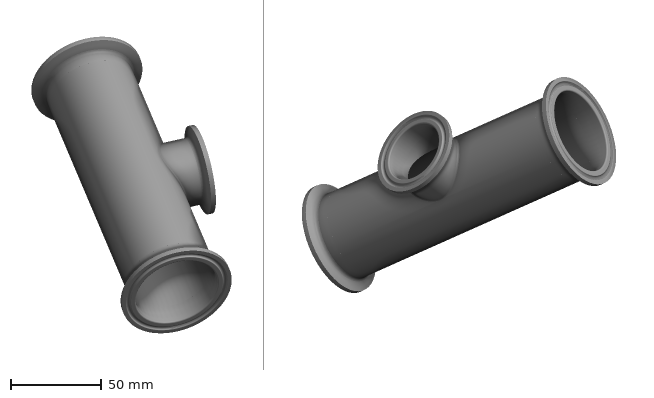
import cadquery as cq
import math

overall_length = 171.4
tube_radius = 25.4
wall = 1.63
tube_bore_radius = tube_radius - wall

branch_radius = 19.0
branch_bore_radius = branch_radius - wall
branch_reach = 41.3
branch_fillet = 1.0

ferrule_length = 12.5
main_flange_radius = 31.9
branch_flange_radius = 25.2
rim_thickness = 2.7
flank_angle = 20.0
neck_fillet = 2.0
bore_edge_radius = 0.9

groove_inset = 3.8
groove_half_width = 1.2
groove_depth = 1.0
groove_edge_radius = 0.3

tube_half_length = overall_length / 2 - ferrule_length
branch_root_reach = branch_reach - ferrule_length


def groove_cutter(groove_center):
    """Shallow round-bottomed ring groove in the face at Z = 0."""
    return (
        cq.Workplane("XZ")
        .moveTo(groove_center - groove_half_width, 0)
        .threePointArc((groove_center, groove_depth), (groove_center + groove_half_width, 0))
        .close()
        .revolve(360, (0, 0, 0), (0, 1, 0))
    )


def make_ferrule(neck_radius, flange_radius):
    """Clamp ferrule with its sealing face at Z = 0 and its neck pointing to +Z."""
    bore_radius = neck_radius - wall
    flank_end = rim_thickness + (flange_radius - neck_radius) * math.tan(math.radians(flank_angle))
    body = (
        cq.Workplane("XZ")
        .moveTo(bore_radius, 0)
        .lineTo(flange_radius, 0)
        .lineTo(flange_radius, rim_thickness)
        .lineTo(neck_radius, flank_end)
        .lineTo(neck_radius, ferrule_length)
        .lineTo(bore_radius, ferrule_length)
        .close()
        .revolve(360, (0, 0, 0), (0, 1, 0))
    )
    neck_corner = cq.selectors.BoxSelector(
        (-flange_radius, -flange_radius, flank_end - neck_fillet / 2),
        (flange_radius, flange_radius, flank_end + neck_fillet / 2),
        boundingbox=False,
    )
    body = body.edges(neck_corner).fillet(neck_fillet)
    body = body.cut(groove_cutter(flange_radius - groove_inset))

    face_edges = body.faces("<Z").edges("%CIRCLE")
    groove_edges = [
        face_edges.edges(cq.selectors.RadiusNthSelector(position)).val()
        for position in (1, 2)
    ]
    rounded_groove = body.newObject(groove_edges).fillet(groove_edge_radius)
    bore_rim = rounded_groove.faces("<Z").edges(cq.selectors.RadiusNthSelector(0))
    return bore_rim.fillet(bore_edge_radius)


def make_tee():
    """Main tube with its short side branch, both bored through."""
    tube = cq.Workplane("YZ").circle(tube_radius).extrude(tube_half_length, both=True)
    branch = cq.Workplane("XZ").circle(branch_radius).extrude(-branch_root_reach)
    tube_bore = cq.Workplane("YZ").circle(tube_bore_radius).extrude(tube_half_length, both=True)
    branch_bore = cq.Workplane("XZ").circle(branch_bore_radius).extrude(-branch_root_reach)
    outside = tube.union(branch)
    junction_half_width = branch_radius + 2 * branch_fillet
    junction = cq.selectors.BoxSelector(
        (-junction_half_width, 0, -tube_radius),
        (junction_half_width, tube_radius + branch_fillet, tube_radius),
        boundingbox=True,
    )
    outside = outside.edges(junction).edges("not %LINE").fillet(branch_fillet)
    return outside.cut(tube_bore).cut(branch_bore)


tee = make_tee()

end_ferrules = []
for side in (-1, 1):
    ferrule = make_ferrule(tube_radius, main_flange_radius)
    ferrule = ferrule.rotate((0, 0, 0), (0, 1, 0), -side * 90)
    end_ferrules.append(ferrule.translate((side * overall_length / 2, 0, 0)))

branch_ferrule = (
    make_ferrule(branch_radius, branch_flange_radius)
    .rotate((0, 0, 0), (1, 0, 0), 90)
    .translate((0, branch_reach, 0))
)

result = cq.Compound.makeCompound(
    [tee.val(), *[ferrule.val() for ferrule in end_ferrules], branch_ferrule.val()]
)